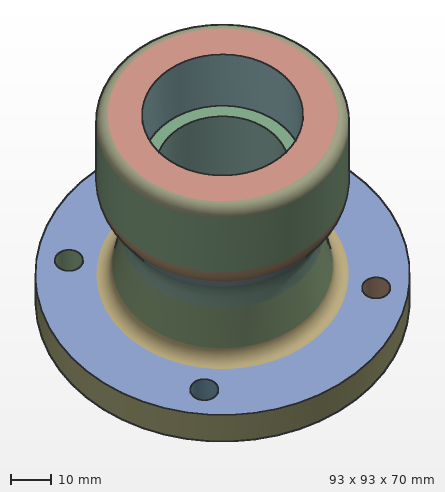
import cadquery as cq
import math

flange_diameter = 93.0
flange_thickness = 10.0
bolt_hole_diameter = 7.0
bolt_spacing = 54.3

total_height = 70.0
head_diameter = 63.0
waist_diameter = 49.85
waist_height = 28.6
head_edge_radius = 3.0
shoulder_radius = 10.0
neck_radius = 15.0
foot_radius = 4.0
shoulder_angle = math.radians(30)
skirt_angle = math.radians(10)

bore_diameter = 33.0
counterbore_diameter = 40.0
counterbore_depth = 19.3


def arc_point(center, radius, angle):
    """Point (r, z) on a circle, angle measured from the outward radial direction."""
    return (
        center[0] + radius * math.cos(angle),
        center[1] + radius * math.sin(angle),
    )


def make_body():
    """Revolve the flange, flared neck and rounded head about Z."""
    flange_r = flange_diameter / 2
    head_r = head_diameter / 2

    neck_center = (waist_diameter / 2 + neck_radius, waist_height)
    skirt_top = arc_point(neck_center, neck_radius, math.pi + skirt_angle)
    waist = arc_point(neck_center, neck_radius, math.pi)
    cone_bottom = arc_point(neck_center, neck_radius, math.pi - shoulder_angle)

    foot_center_z = flange_thickness + foot_radius
    skirt_bottom_z = foot_center_z - foot_radius * math.sin(skirt_angle)
    skirt_bottom_r = skirt_top[0] + (skirt_top[1] - skirt_bottom_z) * math.tan(skirt_angle)
    foot_center = (skirt_bottom_r + foot_radius * math.cos(skirt_angle), foot_center_z)
    foot_middle = arc_point(foot_center, foot_radius, math.radians(225))

    shoulder_center_r = head_r - shoulder_radius
    cone_top_r = shoulder_center_r + shoulder_radius * math.cos(shoulder_angle)
    cone_top_z = cone_bottom[1] + (cone_top_r - cone_bottom[0]) / math.tan(shoulder_angle)
    shoulder_center = (shoulder_center_r, cone_top_z + shoulder_radius * math.sin(shoulder_angle))
    shoulder_middle = arc_point(shoulder_center, shoulder_radius, -shoulder_angle / 2)

    edge_center = (head_r - head_edge_radius, total_height - head_edge_radius)
    edge_middle = arc_point(edge_center, head_edge_radius, math.radians(45))

    profile = (
        cq.Workplane("XZ")
        .lineTo(flange_r, 0)
        .lineTo(flange_r, flange_thickness)
        .lineTo(foot_center[0], flange_thickness)
        .threePointArc(foot_middle, (skirt_bottom_r, skirt_bottom_z))
        .lineTo(*skirt_top)
        .threePointArc(waist, cone_bottom)
        .lineTo(cone_top_r, cone_top_z)
        .threePointArc(shoulder_middle, (head_r, shoulder_center[1]))
        .lineTo(head_r, edge_center[1])
        .threePointArc(edge_middle, (edge_center[0], total_height))
        .lineTo(0, total_height)
        .close()
    )
    return profile.revolve(360, (0, 0, 0), (0, 1, 0))


def make_bore():
    """Through bore with a counterbore from the head."""
    bore = cq.Workplane("XY").circle(bore_diameter / 2).extrude(total_height)
    counterbore = (
        cq.Workplane("XY", origin=(0, 0, total_height - counterbore_depth))
        .circle(counterbore_diameter / 2)
        .extrude(counterbore_depth)
    )
    return bore.union(counterbore)


def make_bolt_holes():
    """Four holes through the flange, on the corners of a square."""
    return (
        cq.Workplane("XY")
        .rect(bolt_spacing, bolt_spacing, forConstruction=True)
        .vertices()
        .circle(bolt_hole_diameter / 2)
        .extrude(flange_thickness)
    )


result = make_body().cut(make_bore()).cut(make_bolt_holes())